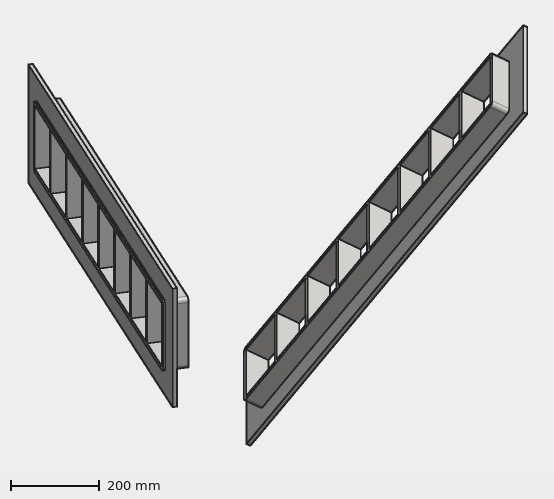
import cadquery as cq

length = 1174.0
height = 299.0
plate_thickness = 10.0
border = 60.0

depth = 60.0
front_lip = 5.0
wall = 10.0
corner_radius = 10.0
opening_count = 8

frame_length = length - 2 * border
frame_height = height - 2 * border
opening_length = (frame_length - (opening_count + 1) * wall) / opening_count
opening_height = frame_height - 2 * wall
pitch = opening_length + wall


def make_block(size_x, size_y, size_z, front_y):
    """Box centred on X and Z, extending toward +Y from its front face."""
    return (
        cq.Workplane("XY")
        .box(size_x, size_y, size_z, centered=(True, False, True))
        .translate((0, front_y, 0))
    )


def make_openings():
    """Row of equal rectangular openings through the full depth."""
    return (
        cq.Workplane("XZ")
        .rarray(pitch, 12, opening_count, 1)
        .rect(opening_length, opening_height)
        .extrude(-depth)
    )


plate = make_block(length, plate_thickness, height, front_lip)
frame = make_block(frame_length, depth, frame_height, 0).edges("|Y").fillet(corner_radius)

result = plate.union(frame).cut(make_openings())